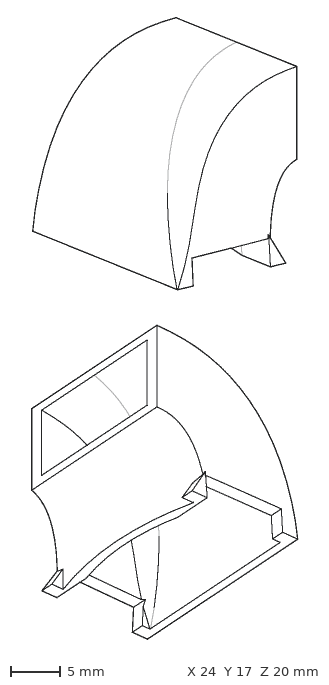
import cadquery as cq

inlet_width = 24.0
outlet_width = 20.0
depth = 17.0
height = 20.0
outlet_bottom = 10.0
wall = 1.0
side_wall = 1.6
inner_bulge = 2.0
foot_back = 3.0
foot_depth = 2.0
foot_height = 3.35
foot_taper = 0.3
edge_sag = 1.2
crease_start = 0.99
notch_height = 2.95
notch_front = 14.98
section_count = 7

notch_back = foot_back + foot_depth

outer_bend = [(depth, 0), (16.2, 11.05), (11.4, 19.75), (0, height)]
inner_bend = [(notch_back, 0), (4.75, 5.75), (3.35, 9.6), (0, outlet_bottom)]


def bezier_point(control, t):
    """Point on a cubic Bezier curve as a vector in the YZ plane."""
    weights = [(1 - t) ** 3, 3 * t * (1 - t) ** 2, 3 * t**2 * (1 - t), t**3]
    distance = sum(w * p[0] for w, p in zip(weights, control))
    z = sum(w * p[1] for w, p in zip(weights, control))
    return cq.Vector(0, -distance, z)


def bend_section(t, wall_inset, side_inset):
    """Closed section across the duct at fraction t of the bend."""
    outer = bezier_point(outer_bend, t)
    inner = bezier_point(inner_bend, t)
    inward = (inner - outer).normalized()
    outer += inward * wall_inset
    inner -= inward * wall_inset
    crest = inner + inward * (inner_bulge * (1 - t))
    half_width = inlet_width / 2 + (outlet_width - inlet_width) / 2 * t - side_inset
    side = cq.Vector(half_width, 0, 0)
    crease = outer + side * (crease_start * (1 - t))
    sag_shape = t * (1 - t) ** 4 / (0.2 * 0.8**4)
    sunken_corner = outer + side + inward * (edge_sag * sag_shape)
    return cq.Wire.assembleEdges([
        cq.Edge.makeLine(outer - side, crease),
        cq.Edge.makeLine(crease, sunken_corner),
        cq.Edge.makeLine(sunken_corner, inner + side),
        cq.Edge.makeSpline([inner + side, crest, inner - side]),
        cq.Edge.makeLine(inner - side, outer - side),
    ])


def bend_solid(wall_inset=0, side_inset=0):
    """Loft through sections spaced evenly along the bend."""
    fractions = [i / (section_count - 1) for i in range(section_count)]
    sections = [bend_section(t, wall_inset, side_inset) for t in fractions]
    return cq.Workplane(cq.Solid.makeLoft(sections))


def rear_feet():
    """Triangular feet that square off the two rear corners of the inlet."""
    foot = (
        cq.Workplane("YZ", origin=(-inlet_width / 2, 0, 0))
        .polyline([(-foot_back, 0), (-notch_back, 0), (-notch_back, foot_height)])
        .close()
        .extrude(side_wall)
    )
    lower_edge = inlet_width / 2
    upper_edge = lower_edge - foot_taper
    taper = (
        cq.Workplane("XZ")
        .polyline([(-lower_edge, 0), (0, 0), (0, foot_height), (-upper_edge, foot_height)])
        .close()
        .extrude(depth)
    )
    foot = foot.intersect(taper)
    return foot.union(foot.mirror("YZ"))


notch_length = notch_front - notch_back
side_notch = cq.Workplane("XY").box(
    inlet_width, notch_length, notch_height, centered=(True, False, False)
).translate((0, -notch_front, 0))

result = bend_solid().cut(bend_solid(wall, side_wall)).union(rear_feet()).cut(side_notch)